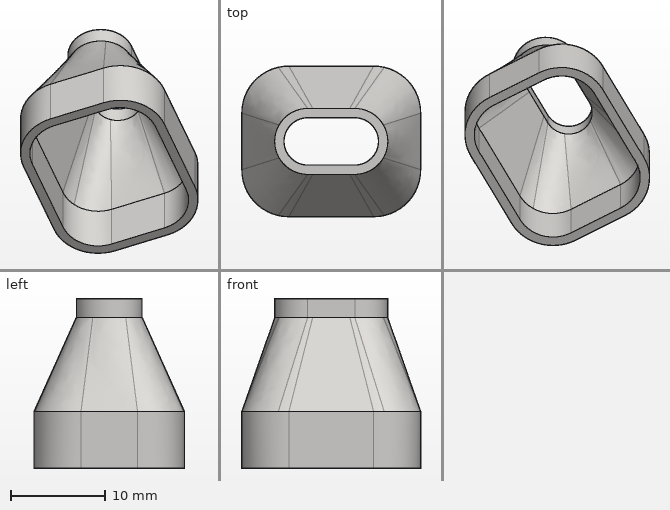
import cadquery as cq

socket_length = 19.0
socket_width = 16.0
socket_corner_radius = 5.0
socket_height = 6.0

taper_height = 10.0

collar_length = 12.0
collar_width = 7.0
collar_height = 2.0

wall = 1.0

taper_top = socket_height + taper_height


def socket_outline(inset, z):
    """Rounded rectangle, moved inwards by inset, as a wire at height z."""
    rounded_rectangle = (
        cq.Sketch()
        .rect(socket_length - 2 * inset, socket_width - 2 * inset)
        .vertices()
        .fillet(socket_corner_radius - inset)
    )
    face = rounded_rectangle.reset().faces().val().moved(cq.Location(cq.Vector(0, 0, z)))
    return face.Faces()[0].outerWire()


def collar_outline(inset, z):
    """Slot with round ends, moved inwards by inset, as a wire at height z."""
    return (
        cq.Workplane("XY")
        .workplane(offset=z)
        .slot2D(collar_length - 2 * inset, collar_width - 2 * inset)
        .wires()
        .val()
    )


def prism(outline, height):
    """Straight upright block with the given outline and height."""
    return cq.Workplane("XY").add(cq.Solid.extrudeLinear(outline, [], cq.Vector(0, 0, height)))


def adapter_body(inset):
    """Socket, taper and collar as one solid, with every side moved inwards by inset."""
    socket = prism(socket_outline(inset, 0), socket_height)
    taper_ends = [socket_outline(inset, socket_height), collar_outline(inset, taper_top)]
    taper = cq.Solid.makeLoft(taper_ends, ruled=True)
    collar = prism(collar_outline(inset, taper_top), collar_height)
    return socket.union(cq.Workplane("XY").add(taper)).union(collar)


result = adapter_body(0).cut(adapter_body(wall))